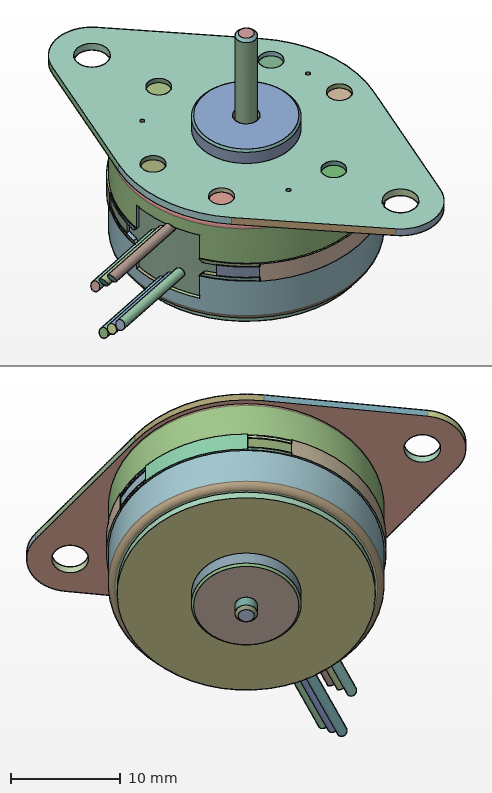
import cadquery as cq
import math

plate_top = 6.55
plate_thickness = 0.8
plate_bottom = plate_top - plate_thickness
boss_top = 8.1
body_bottom = -5.82
base_bottom = -6.6
lower_boss_bottom = -8.2
shaft_top = 17.9
shaft_bottom = -9.55

body_radius = 12.6
body_fillet = 0.6
base_radius = 11.78
boss_radius = 5.0
boss_chamfer = 0.2
shaft_radius = 1.03
shaft_chamfer = 0.3
boss_bore_radius = 1.25

plate_radius = 12.7
overall_length = 42.8
ear_radius = 4.0
ear_spacing = overall_length / 2 - ear_radius
ear_hole_diameter = 3.35
rivet_diameter = 2.35
rivet_pitch_radius = 9.9
rivet_angles = (0, 67, 113, 180, 247, 293)
mark_diameter = 0.43
mark_pitch_radius = 9.55
mark_angles = (90, 210, 330)
recess_depth = 0.5

band_half_height = 1.03
band_radius = 12.75
lip_radius = 12.67
notch_inner_x = 5.05
notch_outer_x = 8.48
slot_half_height = 0.65

window_radius = 12.25
window_half_width = 3.55
window_half_height = 3.75
slot_corner_chamfer = 0.35

wire_diameter = 1.0
wire_end = 21.6
wire_start = 11.15
wire_pitch = 0.95
upper_inner_height = 1.55
lower_inner_height = -1.65
end_slant = 20.0
first_wire_x = 1.5 * wire_pitch


def disc(radius, bottom, top):
    return cq.Workplane("XY").workplane(offset=bottom).circle(radius).extrude(top - bottom)


def front_block(x_min, x_max, half_height):
    """Block reaching forward from the motor axis, centred on the mid-plane."""
    block = cq.Workplane("XY").box(x_max - x_min, overall_length, 2 * half_height)
    return block.translate(((x_min + x_max) / 2, -overall_length / 2, 0))


def make_plate():
    tilt = math.asin((plate_radius - ear_radius) / ear_spacing)
    side_x = plate_radius * math.sin(tilt)
    side_y = plate_radius * math.cos(tilt)
    ear_x = ear_spacing + ear_radius * math.sin(tilt)
    ear_y = ear_radius * math.cos(tilt)
    tip = overall_length / 2
    plate = (
        cq.Workplane("XY").workplane(offset=plate_bottom)
        .moveTo(-side_x, side_y)
        .threePointArc((0, plate_radius), (side_x, side_y))
        .lineTo(ear_x, ear_y)
        .threePointArc((tip, 0), (ear_x, -ear_y))
        .lineTo(side_x, -side_y)
        .threePointArc((0, -plate_radius), (-side_x, -side_y))
        .lineTo(-ear_x, -ear_y)
        .threePointArc((-tip, 0), (-ear_x, ear_y))
        .close()
        .extrude(plate_thickness)
    )
    return (
        plate.faces(">Z").workplane(origin=(0, 0, plate_top))
        .pushPoints([(-ear_spacing, 0), (ear_spacing, 0)])
        .hole(ear_hole_diameter, plate_thickness)
    )


def cut_recesses(solid, diameter, pitch_radius, angles):
    """Shallow round recesses in the plate top, on a circle about the axis."""
    for angle in angles:
        x = pitch_radius * math.cos(math.radians(angle))
        y = pitch_radius * math.sin(math.radians(angle))
        recess = disc(diameter / 2, plate_top - recess_depth, plate_top)
        solid = solid.cut(recess.translate((x, y, 0)))
    return solid


def make_notches(half_height):
    """Four blocks over the notches in the band: left and right, front and back."""
    notch = front_block(notch_inner_x, notch_outer_x, half_height)
    notches = notch.union(notch.mirror("YZ"))
    return notches.union(notches.mirror("XZ"))


def make_window():
    """Window outline with a slot each side, cut inwards as far as the insert surface."""
    splay_x = window_half_width + slot_corner_chamfer
    splay_z = slot_half_height + slot_corner_chamfer
    quarter = [
        (notch_inner_x, slot_half_height),
        (splay_x, slot_half_height),
        (window_half_width, splay_z),
        (window_half_width, window_half_height),
    ]
    right_side = [(x, -z) for x, z in quarter[::-1]] + quarter
    left_side = [(-x, -z) for x, z in right_side]
    window = cq.Workplane("XZ").polyline(right_side + left_side).close().extrude(overall_length)
    return window.cut(disc(window_radius, -window_half_height, window_half_height))


def make_can():
    can = disc(body_radius, body_bottom, plate_bottom).edges().fillet(body_fillet)
    band = disc(band_radius, -band_half_height, band_half_height)
    band = band.cut(make_notches(band_half_height))
    band = band.cut(front_block(-notch_inner_x, notch_inner_x, band_half_height))
    lips = disc(lip_radius, -band_half_height, band_half_height)
    lips = lips.cut(make_notches(slot_half_height))
    return can.union(band).union(lips).cut(make_window())


def make_wire(x, z, slant):
    """Wire whose end face turns upwards for a positive slant, downwards for a negative one."""
    wire = (
        cq.Workplane("XZ").workplane(offset=wire_start)
        .center(x, z).circle(wire_diameter / 2)
        .extrude(wire_end - wire_start)
    )
    end_centre = wire_end - wire_diameter / 2 * math.tan(math.radians(end_slant))
    trim_size = 4 * wire_diameter
    trim = cq.Workplane("XY").box(trim_size, trim_size, trim_size).translate((0, -trim_size / 2, 0))
    trim = trim.rotate((0, 0, 0), (1, 0, 0), -slant)
    return wire.cut(trim.translate((x, -end_centre, z)))


def make_wires():
    wires = cq.Workplane("XY")
    for step in range(3):
        shift = step * wire_pitch
        upper_slant = end_slant if step == 0 else -end_slant
        upper_x = shift - first_wire_x
        wires = wires.add(make_wire(upper_x, upper_inner_height + shift, upper_slant))
        wires = wires.add(make_wire(-upper_x, lower_inner_height - shift, end_slant))
    return wires.combine()


upper_boss = disc(boss_radius, plate_top, boss_top).faces(">Z").edges().chamfer(boss_chamfer)
upper_boss = upper_boss.cut(disc(boss_bore_radius, plate_top, boss_top))
lower_boss = disc(boss_radius, lower_boss_bottom, base_bottom).faces("<Z").edges().chamfer(boss_chamfer)
base = disc(base_radius, base_bottom, body_bottom)
shaft = disc(shaft_radius, shaft_bottom, shaft_top).edges().chamfer(shaft_chamfer)

plate = make_plate()
plate = cut_recesses(plate, rivet_diameter, rivet_pitch_radius, rivet_angles)
plate = cut_recesses(plate, mark_diameter, mark_pitch_radius, mark_angles)

result = make_can().union(make_wires())
for piece in (base, plate, upper_boss, lower_boss, shaft):
    result = result.union(piece)